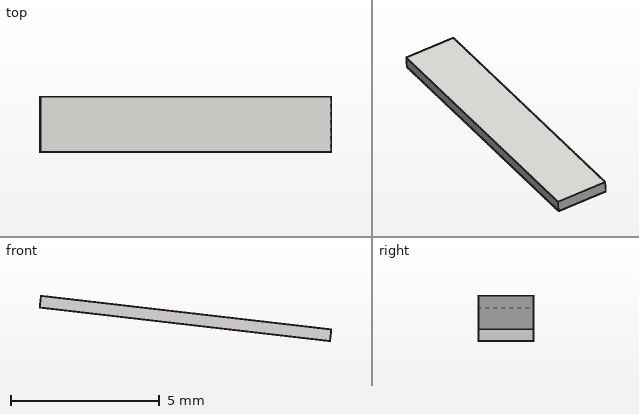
import cadquery as cq
import math

span_x = 9.81
width = 1.86
thickness = 0.4
tilt_degrees = 6.6

tilt = math.radians(tilt_degrees)
length = (span_x - thickness * math.sin(tilt)) / math.cos(tilt)

strip = cq.Workplane("XY").box(length, width, thickness)
result = strip.rotate((0, 0, 0), (0, 1, 0), tilt_degrees)